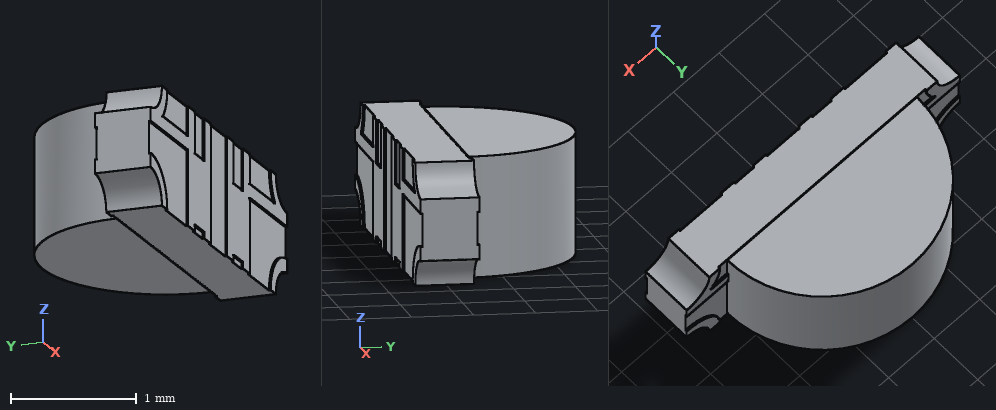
import cadquery as cq

LENGTH = 3.0
HEIGHT = 1.0
TOTAL_DEPTH = 1.5
LENS_RADIUS = 1.04
PAD_THICKNESS = 0.015
CORNER_RADIUS = 0.25
RING_RADIUS = 0.365

PAD_INNER_X = 0.177
PAD_OUTER_X = 0.675
NOTCH_INNER_X = 0.32
NOTCH_WIDTH = 0.207
UPPER_NOTCH_DEPTH = 0.35
LOWER_NOTCH_DEPTH = 0.055

LENS_HEIGHT = 0.98

half_length = LENGTH / 2
half_height = HEIGHT / 2
board_front = PAD_THICKNESS
board_back = TOTAL_DEPTH - LENS_RADIUS
pad_back = board_back + PAD_THICKNESS
strip_bottom = half_height - RING_RADIUS
strip_top = half_height - CORNER_RADIUS
corners = [(x, z) for x in (-half_length, half_length) for z in (-half_height, half_height)]


def block(x_range, y_range, z_range):
    """Box spanning the given (low, high) range on each axis."""
    ranges = (x_range, y_range, z_range)
    size = [high - low for low, high in ranges]
    return cq.Workplane("XY").box(*size, centered=False).translate(tuple(low for low, high in ranges))


def corner_cylinders(radius, y_start, y_end):
    """Cylinders along Y centred on the four board corners."""
    return cq.Workplane("XZ", origin=(0, y_start, 0)).pushPoints(corners).circle(radius).extrude(y_start - y_end)


def corner_pads(y_start, y_end):
    """Quarter-round pads, trimmed to the board outline."""
    outline = block((-half_length, half_length), (y_start, y_end), (-half_height, half_height))
    return corner_cylinders(RING_RADIUS, y_start, y_end).intersect(outline)


def front_pad(side):
    """Notched front pad and the strip joining it to the board end; side is -1 or 1."""
    thickness = (0, board_front)

    def plate(x_inner, x_outer, z_low, z_high):
        return block(sorted((side * x_inner, side * x_outer)), thickness, (z_low, z_high))

    notch_outer_x = NOTCH_INNER_X + NOTCH_WIDTH
    pad = plate(PAD_INNER_X, PAD_OUTER_X, -half_height, half_height)
    upper_notch = plate(NOTCH_INNER_X, notch_outer_x, half_height - UPPER_NOTCH_DEPTH, half_height)
    lower_notch = plate(NOTCH_INNER_X, notch_outer_x, -half_height, LOWER_NOTCH_DEPTH - half_height)
    strip = plate(PAD_OUTER_X, half_length, strip_bottom, strip_top)
    return pad.cut(upper_notch).cut(lower_notch).union(strip)


def back_strip(side):
    """Narrow back pad running from the board end to the side of the lens; side is -1 or 1."""
    x_range = sorted((side * LENS_RADIUS, side * half_length))
    return block(x_range, (board_back, pad_back), (strip_bottom, strip_top))


def make_board():
    """Plate with its front and back pads and the four corner cuts."""
    board = block((-half_length, half_length), (board_front, board_back), (-half_height, half_height))
    board = board.union(corner_pads(0, board_front))
    board = board.union(corner_pads(board_back, pad_back))
    for side in (-1, 1):
        board = board.union(front_pad(side))
        board = board.union(back_strip(side))
    return board.cut(corner_cylinders(CORNER_RADIUS, 0, pad_back))


def make_lens():
    """Half disc standing on the back face of the board, between the corner pads."""
    return (
        cq.Workplane("XY", origin=(0, board_back, -LENS_HEIGHT / 2))
        .moveTo(-LENS_RADIUS, 0)
        .threePointArc((0, LENS_RADIUS), (LENS_RADIUS, 0))
        .close()
        .extrude(LENS_HEIGHT)
    )


board = make_board()
lens = make_lens()

result = cq.Compound.makeCompound([board.solids().val(), lens.val()])